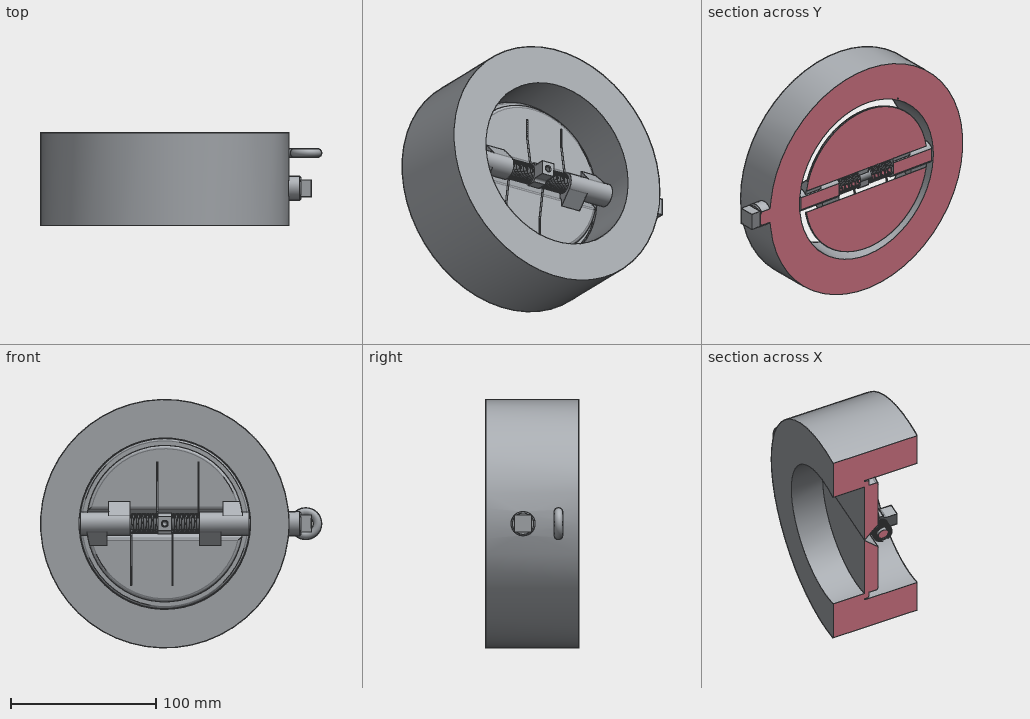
import cadquery as cq
import math


BODY_DIAMETER = 171.0
BODY_LENGTH = 64.0
BORE_DIAMETER = 118.0
SEAT_Y = 40.0
SEAT_OPENING_DIAMETER = 106.0

HINGE_Y = 25.7
PIN_DIAMETER = 8.0
PIN_BLIND_DEPTH = 4.0
TUBE_DIAMETER = 16.0
TUBE_INNER_X = 23.8
TUBE_OUTER_X = 58.0
INNER_LUG_END_X = 38.7
OUTER_LUG_START_X = 39.9
OUTER_LUG_END_X = 53.5
LUG_TOP_Z = 15.1

FLANGE_RADIUS = 58.5
FLANGE_ROUND = 1.5
FLANGE_Y = 36.5
PLATE_RADIUS = 53.8
PLATE_ROUND = 2.2
SEAT_OVERLAP = 0.2
TUBE_RADIUS = TUBE_DIAMETER / 2
TANGENT_OFFSET = TUBE_RADIUS * math.sin(math.radians(45))
PLATE_Y = HINGE_Y + LUG_TOP_Z - 2 * TANGENT_OFFSET

BLOCK_WIDTH = 9.5
BLOCK_HEIGHT = 14.4
BLOCK_FRONT_Y = 21.1
BLOCK_BACK_Y = 28.6
BLOCK_FILLET = 2.0
NOSE_HEIGHT = 9.7
NOSE_Y = 10.8
NOSE_HOLE_DIAMETER = 3.4
NOSE_SINK_DIAMETER = 4.7
NOSE_HOLE_DEPTH = 8.0
DRILL_TIP_ANGLE = 118.0

WIRE_DIAMETER = 1.0
SPRING_INNER_DIAMETER = 11.76
COIL_RADIUS = (SPRING_INNER_DIAMETER + WIRE_DIAMETER) / 2
SPRING_START_X = 5.3
SPRING_END_X = 23.2
SPRING_SPACING = 28.4
SPRING_TURNS = 15.5
BEAD_DIAMETER = 1.2
LEG_ROOT_Z = 8.3
LEG_ROOT_LEAN = 0.5
LEG_BEND_Z = 30.0
LEG_TIP_Z = 42.0
LEG_EMBED = 0.1

PLUG_DIAMETER = 16.66
PLUG_END_X = 93.7
PLUG_CHAMFER = 1.0
PLUG_HEAD_SIZE = 11.76
PLUG_HEAD_END_X = 100.9
PLUG_ROOT_X = 80.0

EYE_WIRE_DIAMETER = 6.0
EYE_OUTER_DIAMETER = 22.0
EYE_END_X = 108.0
EYE_Y = 50.0


def cylinder_x(diameter, x_start, x_end, y):
    """Round bar along X, centred on Z = 0."""
    plane = cq.Workplane("YZ", origin=(x_start, y, 0))
    return plane.circle(diameter / 2).extrude(x_end - x_start)


def disc_y(radius, y_start, y_end):
    """Round disc along Y, centred on the flow axis."""
    plane = cq.Workplane("XZ", origin=(0, y_start, 0))
    return plane.circle(radius).extrude(y_start - y_end)


def box_between(x_range, y_range, z_range):
    corners = list(zip(x_range, y_range, z_range))
    size = [end - start for start, end in zip(*corners)]
    return cq.Workplane("XY").box(*size, centered=False).translate(corners[0])


def prism_x(points, x_start, x_end):
    """Extrude a (Y, Z) outline along X."""
    return cq.Workplane("YZ", origin=(x_start, 0, 0)).polyline(points).close().extrude(x_end - x_start)


def make_body():
    ring = disc_y(BODY_DIAMETER / 2, 0, BODY_LENGTH)
    inlet = disc_y(BORE_DIAMETER / 2, 0, SEAT_Y)
    opening = disc_y(SEAT_OPENING_DIAMETER / 2, SEAT_Y, BODY_LENGTH)
    return ring.cut(inlet).cut(opening)


def make_upper_plate():
    """Half disc with a bevelled straight edge, a stepped rim and two hinge lugs."""
    back_y = SEAT_Y + SEAT_OVERLAP
    raised = disc_y(PLATE_RADIUS, PLATE_Y, back_y)
    bevel_z = SEAT_Y - PLATE_Y
    upper_half = prism_x(
        [(PLATE_Y, bevel_z), (PLATE_Y, BODY_DIAMETER), (back_y, BODY_DIAMETER), (back_y, 0), (SEAT_Y, 0)],
        -BODY_DIAMETER / 2,
        BODY_DIAMETER / 2,
    )
    raised = raised.intersect(upper_half).faces("<Y").edges().fillet(PLATE_ROUND)
    flange = disc_y(FLANGE_RADIUS, FLANGE_Y, back_y).faces("<Y").edges().fillet(FLANGE_ROUND)
    plate = raised.union(flange.intersect(upper_half))

    lug_outline = [
        (HINGE_Y, 0),
        (HINGE_Y - TANGENT_OFFSET, TANGENT_OFFSET),
        (PLATE_Y, LUG_TOP_Z),
        (PLATE_Y + PLATE_ROUND, LUG_TOP_Z),
        (PLATE_Y + PLATE_ROUND, TANGENT_OFFSET),
    ]
    rim = disc_y(PLATE_RADIUS, 0, SEAT_Y)
    for x_start, x_end in ((-INNER_LUG_END_X, -TUBE_INNER_X), (OUTER_LUG_START_X, OUTER_LUG_END_X)):
        plate = plate.union(prism_x(lug_outline, x_start, x_end).intersect(rim))
    return plate


def make_hinge():
    pin = cylinder_x(PIN_DIAMETER, -BORE_DIAMETER / 2 - PIN_BLIND_DEPTH, PLUG_ROOT_X, HINGE_Y)
    left_tube = cylinder_x(TUBE_DIAMETER, -TUBE_OUTER_X, -TUBE_INNER_X, HINGE_Y)
    right_tube = cylinder_x(TUBE_DIAMETER, TUBE_INNER_X, TUBE_OUTER_X, HINGE_Y)
    return pin.union(left_tube).union(right_tube)


def make_centre_block():
    """Block round the pin with a drilled nose in front."""
    half_width = BLOCK_WIDTH / 2
    half_height = BLOCK_HEIGHT / 2
    half_nose = NOSE_HEIGHT / 2
    x_range = (-half_width, half_width)
    block = box_between(x_range, (BLOCK_FRONT_Y, BLOCK_BACK_Y), (-half_height, half_height))
    nose = box_between(x_range, (NOSE_Y, HINGE_Y), (-half_nose, half_nose))
    block = block.union(nose)
    for z in (-half_nose, half_nose):
        inside_corner = cq.selectors.NearestToPointSelector((0, BLOCK_FRONT_Y, z))
        block = block.edges("|X").edges(inside_corner).fillet(BLOCK_FILLET)

    hole_radius = NOSE_HOLE_DIAMETER / 2
    sink_radius = NOSE_SINK_DIAMETER / 2
    hole_end_y = NOSE_Y + NOSE_HOLE_DEPTH
    tip_length = hole_radius / math.tan(math.radians(DRILL_TIP_ANGLE / 2))
    hole = (
        cq.Workplane("XY")
        .moveTo(0, NOSE_Y)
        .lineTo(sink_radius, NOSE_Y)
        .lineTo(hole_radius, NOSE_Y + sink_radius - hole_radius)
        .lineTo(hole_radius, hole_end_y)
        .lineTo(0, hole_end_y + tip_length)
        .close()
        .revolve(360, (0, 0, 0), (0, 1, 0))
    )
    return block.cut(hole)


def bent_wire(points):
    """Spring wire through the given points, with a bead at its root and a ball at each later point."""
    radius = WIRE_DIAMETER / 2
    wire = cq.Workplane("XY").sphere(BEAD_DIAMETER / 2).translate(points[0])
    for start, end in zip(points, points[1:]):
        direction = cq.Vector(*end) - cq.Vector(*start)
        rod = cq.Solid.makeCylinder(radius, direction.Length, cq.Vector(*start), direction)
        ball = cq.Workplane("XY").sphere(radius).translate(end)
        wire = wire.union(cq.Workplane(obj=rod)).union(ball)
    return wire


def make_legs():
    """Both legs of the right-hand spring, the inner on the lower plate and the outer on the upper."""
    rest_y = PLATE_Y - WIRE_DIAMETER / 2 + LEG_EMBED
    legs = cq.Workplane("XY")
    for x, side in ((SPRING_START_X, -1), (SPRING_END_X, 1)):
        leg = bent_wire([
            (x, HINGE_Y, side * COIL_RADIUS),
            (x, HINGE_Y - LEG_ROOT_LEAN, side * LEG_ROOT_Z),
            (x, rest_y, side * LEG_BEND_Z),
            (x, rest_y, side * LEG_TIP_Z),
        ])
        legs = legs.add(leg)
    return legs.combine()


def make_coil():
    """Coil of the right-hand spring, wound round the pin."""
    length = SPRING_END_X - SPRING_START_X
    path = cq.Wire.makeHelix(length / SPRING_TURNS, length, COIL_RADIUS)
    coil = (
        cq.Workplane("XZ", origin=(COIL_RADIUS, 0, 0))
        .circle(WIRE_DIAMETER / 2)
        .sweep(cq.Workplane(obj=path), isFrenet=True)
    )
    return coil.rotate((0, 0, 0), (0, 1, 0), 90).translate((SPRING_START_X, HINGE_Y, 0))


def make_plug():
    """Round plug that closes the pin bore, with a square head."""
    barrel = cylinder_x(PLUG_DIAMETER, PLUG_ROOT_X, PLUG_END_X, HINGE_Y)
    barrel = barrel.faces(">X").chamfer(PLUG_CHAMFER)
    half_head = PLUG_HEAD_SIZE / 2
    head = box_between(
        (PLUG_ROOT_X, PLUG_HEAD_END_X),
        (HINGE_Y - half_head, HINGE_Y + half_head),
        (-half_head, half_head),
    )
    return barrel.union(head)


def make_lifting_eye():
    wire_radius = EYE_WIRE_DIAMETER / 2
    ring_radius = EYE_OUTER_DIAMETER / 2 - wire_radius
    centre_x = EYE_END_X - EYE_OUTER_DIAMETER / 2
    ring = cq.Solid.makeTorus(ring_radius, wire_radius, cq.Vector(centre_x, EYE_Y, 0), cq.Vector(0, 1, 0))
    stem = cylinder_x(EYE_WIRE_DIAMETER, PLUG_ROOT_X, centre_x - ring_radius, EYE_Y)
    return stem.union(cq.Workplane(obj=ring))


upper_plate = make_upper_plate()
lower_plate = upper_plate.rotate((0, 0, 0), (0, 1, 0), 180)
right_legs = make_legs()
right_coil = make_coil()
to_left_spring = (-SPRING_SPACING, 0, 0)

result = make_body()
for component in (
    upper_plate,
    lower_plate,
    make_hinge(),
    make_centre_block(),
    make_plug(),
    make_lifting_eye(),
    right_legs,
    right_legs.translate(to_left_spring),
):
    result = result.union(component)
coils = right_coil.add(right_coil.translate(to_left_spring))
result = result.union(coils, clean=False)